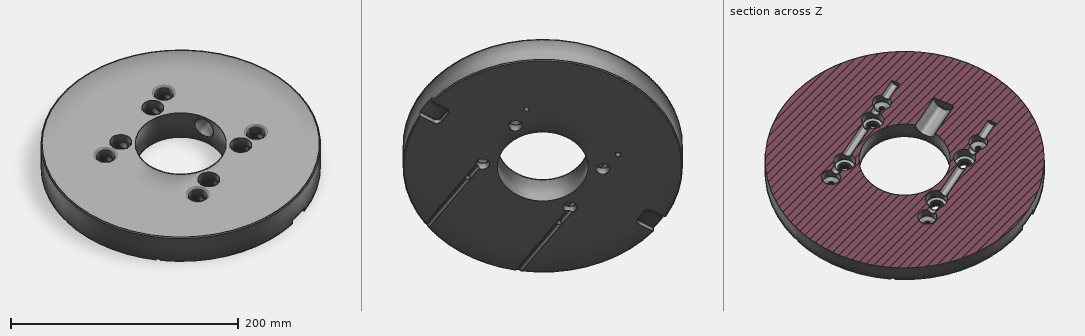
import cadquery as cq
import math

disc_diameter = 246.0
thickness = 29.0
bore_diameter = 80.0
rim_chamfer = 1.0

pocket_spacing = 96.0
pocket_diameter = 16.2
pocket_mouth_radius = 2.0
pocket_depth = 21.0
drain_diameter = 5.0

bolt_circle_radius = 53.0
bolt_angles = (30, 150, 210, 330)
screw_diameter = 12.0
counterbore_diameter = 19.0
counterbore_depth = 21.0

groove_diameter = drain_diameter
groove_end_y = -bolt_circle_radius * math.sin(math.radians(bolt_angles[0]))

key_width = 20.0
key_height = 5.2
key_length = 20.0
key_corner_radius = 5.0

passage_end_y = 73.8
passage_height = 17.0
bore_passage_diameter = 19.5
cross_passage_diameter = 7.5

disc_radius = disc_diameter / 2
pocket_offset = pocket_spacing / 2


def make_disc():
    disc = cq.Workplane("XY").circle(disc_radius).extrude(thickness)
    disc = disc.edges().chamfer(rim_chamfer)
    return disc.faces(">Z").workplane().hole(bore_diameter)


def cut_pockets(body):
    centers = [(sx * pocket_offset, sy * pocket_offset) for sx in (-1, 1) for sy in (-1, 1)]
    top = cq.Workplane("XY", origin=(0, 0, thickness)).pushPoints(centers)
    pockets = top.circle(pocket_diameter / 2).extrude(-pocket_depth)
    drains = top.circle(drain_diameter / 2).extrude(-thickness)
    mouth_edges = cq.selectors.RadiusNthSelector(0)
    body = body.cut(pockets).faces(">Z").edges(mouth_edges).fillet(pocket_mouth_radius)
    return body.cut(drains)


def cut_screw_holes(body):
    centers = [
        (
            bolt_circle_radius * math.cos(math.radians(angle)),
            bolt_circle_radius * math.sin(math.radians(angle)),
        )
        for angle in bolt_angles
    ]
    top = cq.Workplane("XY", origin=(0, 0, thickness)).pushPoints(centers)
    shanks = top.circle(screw_diameter / 2).extrude(-thickness)
    counterbores = top.circle(counterbore_diameter / 2).extrude(-counterbore_depth)
    return body.cut(shanks).cut(counterbores)


def y_cylinder(diameter, x, z, y_start, y_end):
    """Cylinder parallel to Y, running from y_start to y_end."""
    return cq.Workplane("XZ", origin=(x, y_start, z)).circle(diameter / 2).extrude(y_start - y_end)


def cut_grooves(body):
    radius = groove_diameter / 2
    for x in (-pocket_offset, pocket_offset):
        groove = (
            cq.Workplane("XZ", origin=(x, groove_end_y, 0))
            .moveTo(-radius, -radius)
            .lineTo(-radius, 0)
            .threePointArc((0, radius), (radius, 0))
            .lineTo(radius, -radius)
            .close()
            .extrude(disc_radius + groove_end_y)
        )
        body = body.cut(groove)
    return body


def cut_key_pockets(body):
    key = (
        cq.Workplane("XY", origin=(-disc_radius, 0, 0))
        .box(key_length, key_width, key_height, centered=(False, True, False))
        .edges("|Z and >X")
        .fillet(key_corner_radius)
    )
    return body.cut(key).cut(key.mirror("YZ"))


def cut_passages(body):
    body = body.cut(y_cylinder(bore_passage_diameter, 0, passage_height, 0, passage_end_y))
    for x in (-pocket_offset, pocket_offset):
        cross_passage = y_cylinder(
            cross_passage_diameter, x, passage_height, -pocket_offset, passage_end_y
        )
        body = body.cut(cross_passage)
    return body


result = make_disc()
result = cut_pockets(result)
result = cut_screw_holes(result)
result = cut_grooves(result)
result = cut_key_pockets(result)
result = cut_passages(result)